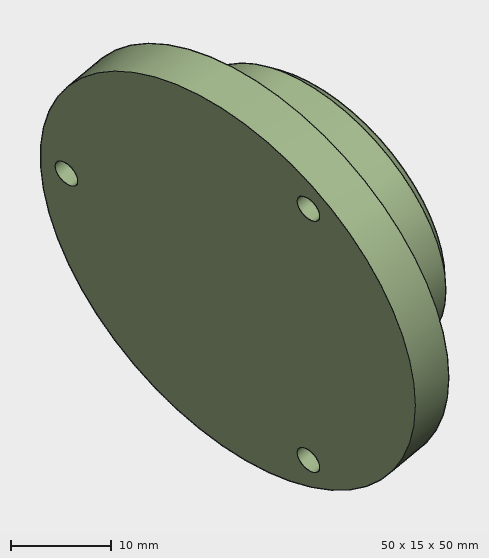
import cadquery as cq

flange_diameter = 50
flange_thickness = 5

boss_diameter = 34
boss_height = 10
boss_chamfer = 1.5
boss_rim_radius = 1.25

hole_count = 3
hole_diameter = 3
hole_circle_radius = 21.5
first_hole_angle = 180
full_turn = 360


def cylinder_along_y(diameter, length, start_y=0):
    """Cylinder on the Y axis, running from start_y toward +Y."""
    plane = cq.Workplane("XZ", origin=(0, start_y, 0))
    return plane.circle(diameter / 2).extrude(-length)


flange = cylinder_along_y(flange_diameter, flange_thickness)

boss = cylinder_along_y(boss_diameter, boss_height, flange_thickness)
boss = boss.faces(">Y").edges().chamfer(boss_chamfer)
boss = boss.faces(">Y").edges().fillet(boss_rim_radius)

holes = (
    cq.Workplane("XZ")
    .polarArray(hole_circle_radius, first_hole_angle, full_turn, hole_count)
    .circle(hole_diameter / 2)
    .extrude(-flange_thickness)
)

result = flange.union(boss).cut(holes)